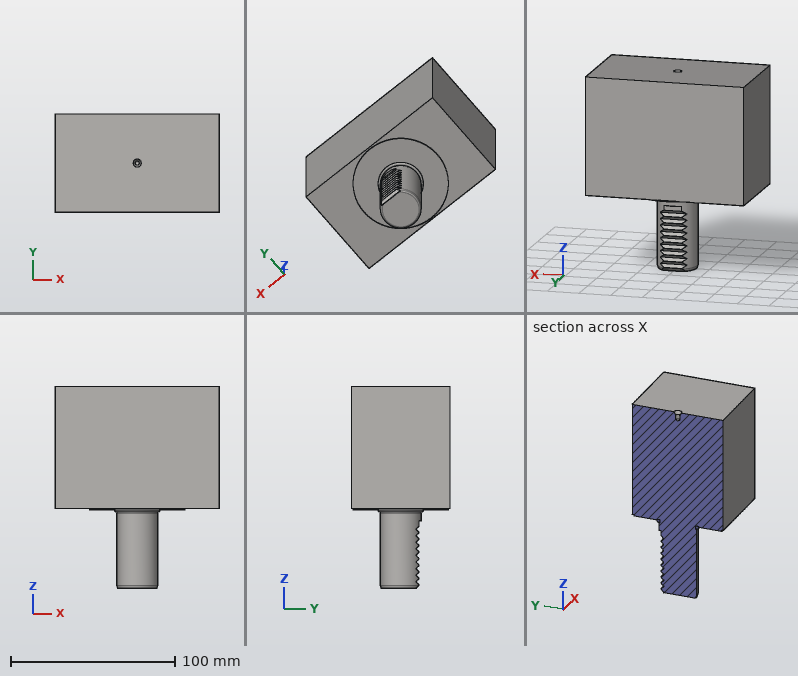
import cadquery as cq
import math


overall_height = 123.0
block_length = 100.0
block_width = 60.0

flange_diameter = 58.0
flange_height = 0.8

shank_diameter = 25.0
shank_length = 48.0
shank_radius = shank_diameter / 2
block_height = overall_height - shank_length - flange_height
block_top = flange_height + block_height

neck_length = 2.2
lead_length = 2.0
taper_angle = 15.0
taper_slope = math.tan(math.radians(taper_angle))
neck_radius = shank_radius - neck_length * taper_slope
lead_radius = shank_radius - lead_length * taper_slope
rim_radius = 1.0

rack_flat_y = 11.2
rack_start = 6.8
tooth_pitch = 4.0
notch_count = 10
first_notch_depth = 11.75
notch_root_y = 9.3
notch_half_height = rack_flat_y - notch_root_y

ring_section_radius = 1.0
ring_outer_diameter = 27.6
ring_center_radius = ring_outer_diameter / 2 - ring_section_radius
ring_center_z = -0.4

pilot_diameter = 2.5
pilot_depth = 5.0
countersink_diameter = 4.9
countersink_angle = 60.0
drill_point_angle = 120.0


def make_block():
    return (
        cq.Workplane("XY")
        .workplane(offset=flange_height)
        .rect(block_length, block_width)
        .extrude(block_height)
    )


def make_flange():
    return cq.Workplane("XY").circle(flange_diameter / 2).extrude(flange_height)


def make_shank():
    shank = (
        cq.Workplane("XZ")
        .lineTo(neck_radius, 0)
        .lineTo(shank_radius, -neck_length)
        .lineTo(shank_radius, lead_length - shank_length)
        .lineTo(lead_radius, -shank_length)
        .lineTo(0, -shank_length)
        .close()
        .revolve(360, (0, 0, 0), (0, 1, 0))
    )
    return shank.faces("<Z").edges().fillet(rim_radius)


def make_rack_cutter():
    """Flat along the shank with V-notches running across it in X."""
    outer_y = shank_diameter
    below_shank = -shank_length - tooth_pitch
    profile = (
        cq.Workplane("YZ")
        .moveTo(outer_y, -rack_start)
        .lineTo(rack_flat_y, -rack_start)
    )
    for index in range(notch_count):
        root_z = -first_notch_depth - index * tooth_pitch
        profile = (
            profile.lineTo(rack_flat_y, root_z + notch_half_height)
            .lineTo(notch_root_y, root_z)
            .lineTo(rack_flat_y, root_z - notch_half_height)
        )
    return (
        profile.lineTo(rack_flat_y, below_shank)
        .lineTo(outer_y, below_shank)
        .close()
        .extrude(shank_radius, both=True)
    )


def make_center_hole():
    """Countersunk pilot hole with a conical drill point."""
    pilot_radius = pilot_diameter / 2
    mouth_radius = countersink_diameter / 2
    sink_depth = (mouth_radius - pilot_radius) / math.tan(math.radians(countersink_angle / 2))
    point_depth = pilot_radius / math.tan(math.radians(drill_point_angle / 2))
    return (
        cq.Workplane("XZ")
        .moveTo(0, block_top)
        .lineTo(mouth_radius, block_top)
        .lineTo(pilot_radius, block_top - sink_depth)
        .lineTo(pilot_radius, block_top - pilot_depth)
        .lineTo(0, block_top - pilot_depth - point_depth)
        .close()
        .revolve(360, (0, 0, 0), (0, 1, 0))
    )


def make_ring():
    return (
        cq.Workplane("XZ")
        .center(ring_center_radius, ring_center_z)
        .circle(ring_section_radius)
        .revolve(360, (-ring_center_radius, 0, 0), (-ring_center_radius, 1, 0))
    )


sealing_ring = make_ring()

holder = make_block().union(make_flange()).union(make_shank())
holder = holder.cut(make_rack_cutter()).cut(make_center_hole()).cut(sealing_ring)

result = cq.Compound.makeCompound([holder.val(), sealing_ring.val()])